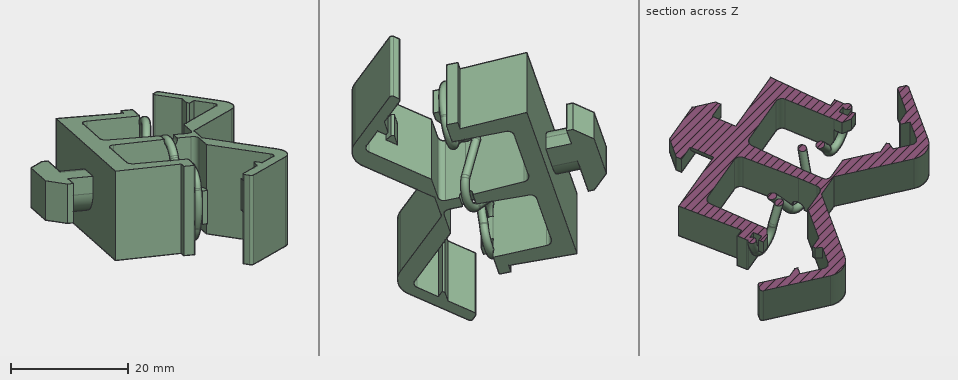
import cadquery as cq
import math

body_height = 15.95
base_half_width = 16.3
floor_thickness = 3.4
wall_top = 14.0
wall_top_inner = 13.3
wall_bottom_inner = 13.15
pocket_radius = 1.15
lip_bottom = 11.95
lip_inner = 15.8
lip_outer = 17.25
lip_edge_radius = 0.25

web_bottom_half_width = 1.6
neck_half_width = 1.05
neck_bottom = 15.0
neck_radius = 1.05

arm_bottom = 19.6
arm_root_outer = 6.2
valley_bottom = 20.1
valley_half_width = 2.15
fold_outer_x = 14.75
fold_outer_y = valley_bottom + fold_outer_x - valley_half_width
fold_outer_radius = 3.6
fold_inner_x = 15.6
fold_inner_y = arm_bottom + fold_inner_x - arm_root_outer
fold_inner_radius = 1.05
half_span = 25.85
arm_end_radius = 0.5
end_corner_x = half_span + (math.sqrt(2) - 1) * arm_end_radius
outer_limb_sum = fold_outer_x + fold_outer_y
inner_limb_sum = fold_inner_x + fold_inner_y
end_corner_y = outer_limb_sum - end_corner_x
limb_offset = (outer_limb_sum - inner_limb_sum) / 2

barb_bottom = 24.0
barb_corner_rise = 0.45
barb_length_right = 1.0
barb_length_left = 1.2
barb_root_right = 19.3
barb_root_left = 19.0

rib_height = 5.6
rib_bottom = 24.3
rib_top = 25.9
rib_nose_x = 13.2
rib_nose_y = 24.85
rib_corner_x = 13.05
rib_embed = 0.5

hook_height = 5.95
hook_top = 16.55
hook_underside = 15.55
hook_neck_outer = 15.25
hook_slope_end = 14.8
hook_tip = base_half_width

stud_length = 8.55
stud_neck_length = 4.5
stud_thickness = 7.05
stud_neck_half_width = 4.0
stud_head_half_width = 7.0
stud_head_edge = 1.1

wire_diameter = 1.5
joint_diameter = 1.55
wire_y = 14.65
groove_radius = 1.2
groove_y = 14.9
groove_depth = 1.45


def rounded_outline(corners):
    """Closed outline through (x, y, radius) corners; each radius gives a tangent arc."""
    pieces = []
    for i, (x, y, radius) in enumerate(corners):
        corner = cq.Vector(x, y)
        before = (cq.Vector(*corners[i - 1][:2]) - corner).normalized()
        after = (cq.Vector(*corners[(i + 1) % len(corners)][:2]) - corner).normalized()
        half_angle = before.getAngle(after) / 2
        setback = radius / math.tan(half_angle)
        bisector = (before + after).normalized()
        middle = corner + bisector * (radius / math.sin(half_angle) - radius)
        pieces.append((corner + before * setback, middle, corner + after * setback, radius))

    outline = cq.Workplane("XY").moveTo(*pieces[0][2].toTuple()[:2])
    for start, middle, end, radius in pieces[1:]:
        outline = outline.lineTo(start.x, start.y)
        if radius > 0:
            outline = outline.threePointArc((middle.x, middle.y), (end.x, end.y))
    return outline.close()


def half_body(barb_root, barb_length):
    """The +X half of the extruded body."""
    barb_tip_x = barb_root - barb_length
    barb_tip_y = inner_limb_sum - barb_root - barb_length
    corners = [
        (0, 0, 0),
        (base_half_width, 0, 0),
        (lip_inner, lip_bottom, 0),
        (lip_outer, lip_bottom, 0),
        (lip_outer, wall_top, lip_edge_radius),
        (wall_top_inner, wall_top, 0),
        (wall_bottom_inner, floor_thickness, pocket_radius),
        (web_bottom_half_width, floor_thickness, pocket_radius),
        (neck_half_width, neck_bottom, 0),
        (neck_half_width, arm_bottom, neck_radius),
        (arm_root_outer, arm_bottom, 0),
        (fold_inner_x, fold_inner_y, fold_inner_radius),
        (barb_root, inner_limb_sum - barb_root, 0),
        (barb_tip_x, barb_tip_y, 0),
        (barb_tip_x + barb_corner_rise, barb_bottom, 0),
        (inner_limb_sum - barb_bottom, barb_bottom, 0),
        (end_corner_x - limb_offset, end_corner_y - limb_offset, arm_end_radius),
        (end_corner_x, end_corner_y, arm_end_radius),
        (fold_outer_x, fold_outer_y, fold_outer_radius),
        (valley_half_width, valley_bottom, 0),
        (0, valley_bottom, 0),
    ]
    return rounded_outline(corners).extrude(body_height / 2, both=True)


def arm_rib():
    """Short rib on the +X arm; its root is sunk into the arm."""
    root_offset = arm_root_outer - arm_bottom
    outline = [
        (rib_top + root_offset, rib_top),
        (rib_nose_x, rib_nose_y),
        (rib_corner_x, rib_bottom),
        (rib_bottom + root_offset, rib_bottom),
        (rib_bottom + root_offset - rib_embed, rib_bottom + rib_embed),
    ]
    return cq.Workplane("XY").polyline(outline).close().extrude(rib_height / 2, both=True)


def wall_hook():
    """Hook on the +X wall that keeps the wire in place."""
    outline = [
        (wall_top_inner, lip_bottom),
        (hook_neck_outer, lip_bottom),
        (hook_neck_outer, hook_underside),
        (hook_tip, hook_underside),
        (hook_tip, hook_top),
        (hook_slope_end, hook_top),
        (wall_top_inner, hook_underside),
    ]
    return cq.Workplane("XY").polyline(outline).close().extrude(hook_height / 2, both=True)


def stud():
    """T-headed stud whose neck is rounded at two opposite corners so that it can turn."""
    head_start = -stud_neck_length
    head_outline = [
        (-stud_head_half_width, head_start),
        (stud_head_half_width, head_start),
        (stud_head_half_width, head_start - stud_head_edge),
        (stud_neck_half_width, -stud_length),
        (-stud_neck_half_width, -stud_length),
        (-stud_head_half_width, head_start - stud_head_edge),
    ]
    head = cq.Workplane("XY").polyline(head_outline).close().extrude(stud_thickness / 2, both=True)

    half_thickness = stud_thickness / 2
    arc_center_z = half_thickness - stud_neck_half_width
    arc_reach = stud_neck_half_width * math.sqrt(0.5)
    neck = (
        cq.Workplane("XZ")
        .moveTo(0, half_thickness)
        .lineTo(stud_neck_half_width, half_thickness)
        .lineTo(stud_neck_half_width, -arc_center_z)
        .threePointArc((arc_reach, -arc_center_z - arc_reach), (0, -half_thickness))
        .lineTo(-stud_neck_half_width, -half_thickness)
        .lineTo(-stud_neck_half_width, arc_center_z)
        .threePointArc((-arc_reach, arc_center_z + arc_reach), (0, half_thickness))
        .close()
        .extrude(stud_neck_length)
    )
    return head.union(neck)


def web_grooves():
    """Round grooves across both ends of the web for the wire."""
    groove_z = body_height / 2 - groove_depth + groove_radius
    return (
        cq.Workplane("YZ")
        .pushPoints([(groove_y, groove_z), (groove_y, -groove_z)])
        .circle(groove_radius)
        .extrude(2 * web_bottom_half_width, both=True)
    )


def wire():
    """Closed bent wire: straight (two-point) and arc (three-point) runs with ball joints.

    It crosses the web's upper groove, loops around both hooks, dips into both pockets
    and crosses back through the lower groove.
    """
    web_top_left = (-3.7, wire_y, 5.35)
    web_top_right = (3.7, wire_y, 5.35)
    left_low = (-9.5, wire_y, -3.5)
    left_side = (-15.8, wire_y, -4.05)
    left_high = (-13.15, wire_y, 6.95)
    left_drop = (-6.35, 12.8, 4.35)
    left_dip = (-5.5, 11.9, 1.05)
    web_low_left = (-3.35, 14.4, -5.9)
    web_low_right = (3.35, 14.4, -5.9)
    right_dip = (7.75, 12.4, 1.9)
    right_high = (9.95, wire_y, 4.55)
    right_upper = (16.35, wire_y, 3.35)
    right_side = (15.95, wire_y, -3.35)
    right_low = (9.5, wire_y, -3.5)
    runs = [
        [web_top_right, (-0.35, wire_y, 7.4), web_top_left],
        [web_top_left, left_low],
        [left_low, (-13.2, wire_y, -6.2), left_side],
        [left_side, (-16.9, wire_y, 0), left_high],
        [left_high, (-10.2, 14.1, 7.6), left_drop],
        [left_drop, left_dip],
        [left_dip, web_low_left],
        [web_low_left, (0, 15.0, -7.8), web_low_right],
        [web_low_right, right_dip],
        [right_dip, right_high],
        [right_high, (13.65, wire_y, 6.1), right_upper],
        [right_upper, (16.85, wire_y, 0.5), right_side],
        [right_side, (13.2, wire_y, -5.95), right_low],
        [right_low, web_top_right],
    ]
    pieces = []
    for run in runs:
        points = [cq.Vector(*point) for point in run]
        if len(points) == 2:
            path = cq.Edge.makeLine(*points)
        else:
            path = cq.Edge.makeThreePointArc(*points)
        section = cq.Workplane(cq.Plane(origin=points[0], normal=path.tangentAt(0)))
        pieces.append(section.circle(wire_diameter / 2).sweep(cq.Workplane(path)).val())
        pieces.append(cq.Workplane(cq.Plane(origin=points[0])).sphere(joint_diameter / 2).val())
    return cq.Workplane(pieces[0].fuse(*pieces[1:]))


right_half = half_body(barb_root_right, barb_length_right)
left_half = half_body(barb_root_left, barb_length_left).mirror("YZ")
body = right_half.union(left_half).cut(web_grooves())

for detail in (arm_rib(), wall_hook()):
    body = body.union(detail).union(detail.mirror("YZ"))

result = body.union(stud()).union(wire())